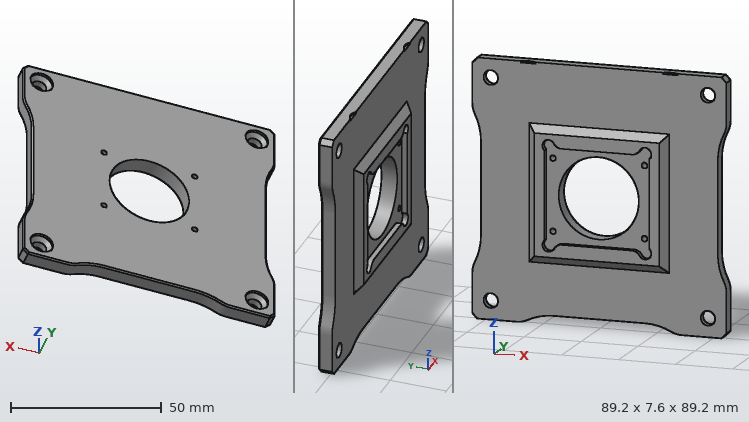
import cadquery as cq
import math

plate_size = 89.2
plate_half = plate_size / 2
plate_thickness = 5.0
corner_cut = 1.8
back_edge_chamfer = 0.5

recess_depth = 3.0
recess_half_length = 28.9
recess_floor_half_length = 16.05
shoulder_radius = 8.0

pad_height = 2.6
pad_base_width = 49.2
pad_base_height = 47.45
pad_side_inset = 2.7

pocket_half_width = 18.4
pocket_half_height = 16.4
pocket_depth = 2.0
lobe_offset = 16.95
lobe_radius = 2.1
lobe_blend_radius = 3.1

bore_diameter = 28.1
screw_hole_diameter = 2.0
screw_spacing_x = 32.1
screw_spacing_z = 25.0
mount_hole_diameter = 5.0
mount_hole_spacing = 76.2
screw_head_diameter = 8.0
screw_head_recess_depth = 0.9

seat_diameter = 8.0
seat_depth = 0.5
seat_spacing = 49.95
seat_axis_overhang = 3.0

front_face_y = -plate_thickness
pad_face_y = front_face_y - pad_height
through_depth = plate_thickness + pad_height


def front_plane(y):
    """Sketch plane facing -Y; local x is X and local y is Z."""
    return cq.Workplane("XZ", origin=(0, y, 0))


def recess_cutter():
    """Recess for the bottom edge: convex shoulders running tangent into concave ends."""
    run = recess_half_length - recess_floor_half_length
    sweep = 2 * math.atan(recess_depth / run)
    end_radius = run / math.sin(sweep) - shoulder_radius
    edge_z = -plate_half
    floor_z = edge_z + recess_depth

    join_x = recess_half_length - shoulder_radius * math.sin(sweep)
    join_z = edge_z + shoulder_radius * (1 - math.cos(sweep))
    shoulder_x = recess_half_length - shoulder_radius * math.sin(sweep / 2)
    shoulder_z = edge_z + shoulder_radius * (1 - math.cos(sweep / 2))
    end_x = recess_floor_half_length + end_radius * math.sin(sweep / 2)
    end_z = floor_z - end_radius * (1 - math.cos(sweep / 2))

    return (
        front_plane(0)
        .moveTo(-recess_half_length, edge_z)
        .threePointArc((-shoulder_x, shoulder_z), (-join_x, join_z))
        .threePointArc((-end_x, end_z), (-recess_floor_half_length, floor_z))
        .lineTo(recess_floor_half_length, floor_z)
        .threePointArc((end_x, end_z), (join_x, join_z))
        .threePointArc((shoulder_x, shoulder_z), (recess_half_length, edge_z))
        .close()
        .extrude(plate_thickness)
    )


def make_plate():
    plate = front_plane(0).rect(plate_size, plate_size).extrude(plate_thickness)
    plate = plate.edges("|Y").chamfer(corner_cut)
    recess = recess_cutter()
    for angle in (0, 90, -90):
        plate = plate.cut(recess.rotate((0, 0, 0), (0, 1, 0), angle))
    return plate.faces(">Y").edges().chamfer(back_edge_chamfer)


def make_pad():
    pad = front_plane(front_face_y).rect(pad_base_width, pad_base_height)
    side_taper = math.degrees(math.atan(pad_side_inset / pad_height))
    return pad.extrude(pad_height, taper=side_taper)


def pocket_lobe():
    """Round relief in the upper right pocket corner, blended into the top wall."""
    plane = front_plane(pad_face_y)
    blend_z = pocket_half_height + lobe_blend_radius
    center_distance = lobe_radius + lobe_blend_radius
    blend_x = lobe_offset - math.sqrt(center_distance**2 - (blend_z - lobe_offset) ** 2)

    blend_outline = [
        (blend_x, pocket_half_height),
        (blend_x, blend_z),
        (lobe_offset, lobe_offset),
        (lobe_offset, pocket_half_height),
    ]
    blend = plane.polyline(blend_outline).close().extrude(-pocket_depth)
    blend_circle = plane.moveTo(blend_x, blend_z).circle(lobe_blend_radius)
    blend = blend.cut(blend_circle.extrude(-pocket_depth))
    relief = plane.moveTo(lobe_offset, lobe_offset).circle(lobe_radius)
    return relief.extrude(-pocket_depth).union(blend)


def make_pocket():
    pocket = front_plane(pad_face_y).rect(2 * pocket_half_width, 2 * pocket_half_height)
    pocket = pocket.extrude(-pocket_depth)
    right_lobe = pocket_lobe()
    upper_lobes = right_lobe.union(right_lobe.mirror("YZ"))
    return pocket.union(upper_lobes).union(upper_lobes.mirror("XY"))


def make_bore():
    return front_plane(0).circle(bore_diameter / 2).extrude(through_depth)


def hole_centers(y, spacing_x, spacing_z):
    return front_plane(y).rect(spacing_x, spacing_z, forConstruction=True).vertices()


def hole_pattern(diameter, spacing_x, spacing_z, depth=through_depth):
    """Four holes cut forward from the back face."""
    return hole_centers(0, spacing_x, spacing_z).circle(diameter / 2).extrude(depth)


def make_edge_seats():
    seats = cq.Workplane("XY", origin=(0, front_face_y - seat_axis_overhang, plate_half))
    seats = seats.pushPoints([(-seat_spacing / 2, 0), (seat_spacing / 2, 0)])
    return seats.circle(seat_diameter / 2).extrude(-seat_depth)


def mount_hole_screw_seats():
    """Straight recess for a screw head at the back, narrowing at 45 degrees to the hole."""
    cone_depth = (screw_head_diameter - mount_hole_diameter) / 2
    head_recess = hole_pattern(
        screw_head_diameter, mount_hole_spacing, mount_hole_spacing, screw_head_recess_depth
    )
    cones = hole_centers(-screw_head_recess_depth, mount_hole_spacing, mount_hole_spacing)
    cones = cones.circle(screw_head_diameter / 2).extrude(cone_depth, taper=45)
    return head_recess.union(cones)


result = make_plate().union(make_pad())
result = result.cut(make_pocket())
result = result.cut(make_bore())
result = result.cut(hole_pattern(screw_hole_diameter, screw_spacing_x, screw_spacing_z))
result = result.cut(hole_pattern(mount_hole_diameter, mount_hole_spacing, mount_hole_spacing))
result = result.cut(mount_hole_screw_seats())
result = result.cut(make_edge_seats())